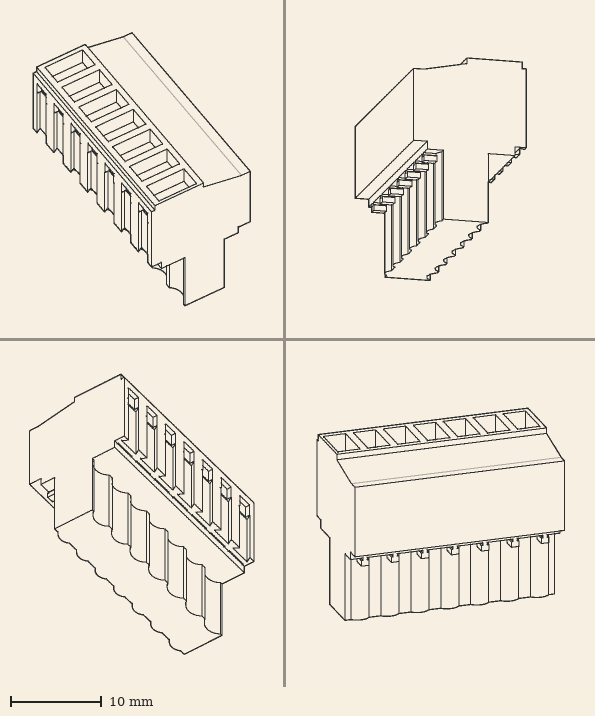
import cadquery as cq
import math

positions = 7
pitch = 3.5
length = positions * pitch

blade_height = 7.9
front_bottom = 8.9
back_bottom = 8.8
back_top = 17.05
slope_top = 18.05
front_top = 17.95
height = 18.7

depth = 12.9
front = -depth / 2
back = depth / 2
foot_front = -5.15
foot_back = 4.9
blade_front = -2.1
blade_back = 3.05
ledge_front = -6.0
ledge_back = 0.35
slope_back = 5.3

flute_half_width = 1.45
flute_sagitta = 0.75

rib_half_width = 1.05
rib_sagitta = 0.45

tab_width = 0.9
neck_width = 0.5
tab_top = 7.6
tab_bottom = 6.95

groove_mouth = 1.9
groove_depth = 0.65
groove_flank_angle = 30
window_width = 1.85
window_depth = 0.55
window_bottom = 15.4
window_top = 16.95

well_width = 2.6
well_front = -5.25
well_back = -0.35
well_offset = 0.1
contact_top = height - 2.05
contact_bottom = front_bottom


def box(x_center, width, y_min, y_max, z_min, z_max):
    """Solid box centred on x_center, between the given Y and Z limits."""
    return (
        cq.Workplane("XY", origin=(x_center, 0, z_min))
        .center(0, (y_min + y_max) / 2)
        .rect(width, y_max - y_min)
        .extrude(z_max - z_min)
    )


def make_profile_body():
    """Housing cross-section swept along the row of terminals."""
    outline = [
        (blade_front, 0),
        (blade_back, 0),
        (blade_back, blade_height),
        (foot_back, blade_height),
        (foot_back, back_bottom),
        (back, back_bottom),
        (back, back_top),
        (slope_back, back_top),
        (ledge_back, slope_top),
        (ledge_back, height),
        (ledge_front, height),
        (ledge_front, front_top),
        (front, front_top),
        (front, front_bottom),
        (foot_front, front_bottom),
        (foot_front, blade_height),
        (blade_front, blade_height),
    ]
    return cq.Workplane("YZ").polyline(outline).close().extrude(length / 2, both=True)


def make_arc_column(x, half_width, y, sagitta):
    """Circular-segment column as tall as the blade, bulging toward +Y from the plane at y."""
    return (
        cq.Workplane("XY")
        .moveTo(x - half_width, y)
        .sagittaArc((x + half_width, y), sagitta)
        .close()
        .extrude(blade_height)
    )


def make_tab(x):
    """Latch tab: narrow neck under the foot carrying a wider bar."""
    neck = box(x, neck_width, blade_back, foot_back, tab_top, blade_height)
    bar = box(x, tab_width, blade_back, foot_back, tab_bottom, tab_top)
    return neck.union(bar)


def make_groove(x):
    """Dovetail groove cutter, wider at its floor, with the window above it."""
    floor_half = groove_mouth / 2 + groove_depth * math.tan(math.radians(groove_flank_angle))
    floor_y = front + groove_depth
    dovetail = (
        cq.Workplane("XY", origin=(x, 0, front_bottom))
        .polyline([
            (-groove_mouth / 2, front),
            (groove_mouth / 2, front),
            (floor_half, floor_y),
            (-floor_half, floor_y),
        ])
        .close()
        .extrude(window_bottom - front_bottom)
    )
    window = box(x, window_width, front, front + window_depth, window_bottom, window_top)
    return dovetail.union(window)


def make_well_fill(x, top):
    """Block with the outline of a wire well, from the well's lower end up to the given level."""
    return box(x + well_offset, well_width, well_front, well_back, contact_bottom, top)


terminal_xs = [(i - (positions - 1) / 2) * pitch for i in range(positions)]

housing = make_profile_body()
for x in terminal_xs:
    housing = housing.union(make_arc_column(x, rib_half_width, blade_back, rib_sagitta))
    housing = housing.union(make_tab(x))
    housing = housing.cut(make_arc_column(x, flute_half_width, blade_front, flute_sagitta))
    housing = housing.cut(make_groove(x))
    housing = housing.cut(make_well_fill(x, height))

contacts = [make_well_fill(x, contact_top) for x in terminal_xs]

result = cq.Compound.makeCompound([housing.val(), *[contact.val() for contact in contacts]])